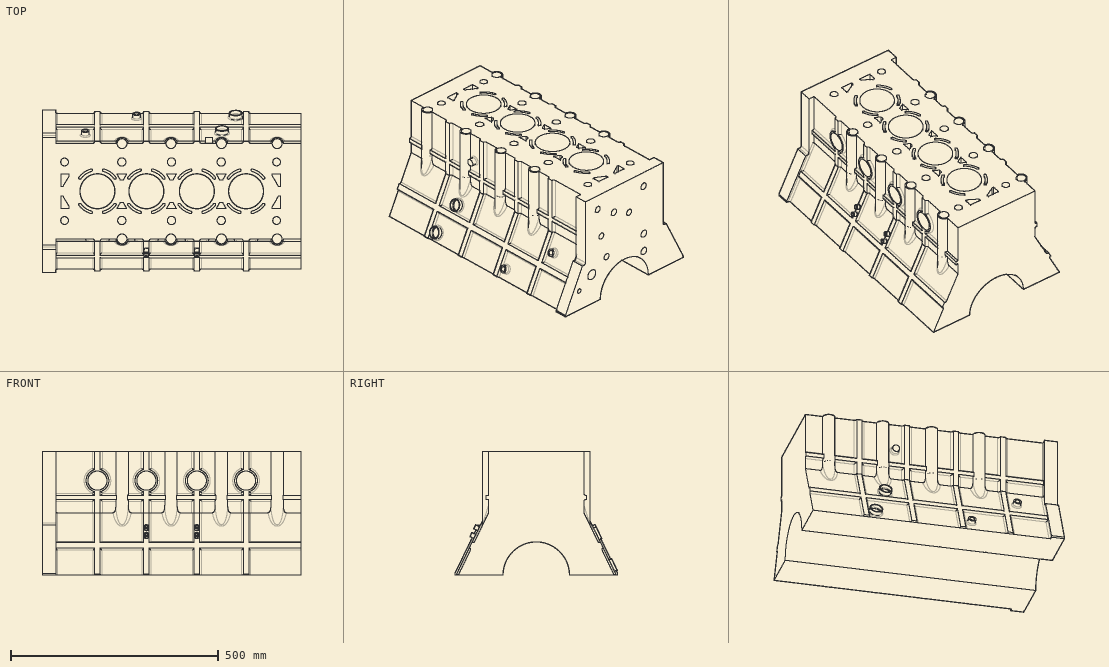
import cadquery as cq
import math

LENGTH = 624.0
WIDTH = 392.5
HEIGHT = 298.0
WALL_HALF = 115.0
BREAK_Z = 150.5
SKIRT_HALF = 188.0
TUNNEL_R = 80.0

FLANGE_T = 32.5
FLANGE_TOP_HALF = 130.0
FLANGE_BOTTOM_HALF = WIDTH / 2
FLANGE_LIP_Z = 4.5
FLANGE_LEDGE_Z = 120.5
FLANGE_FILLET = 5.0

BORE_XS = (133.0, 251.0, 372.5, 491.0)
BORE_R = 42.0
STUD_Y = 70.5
STUD_DEPTH = 62.5
INNER_STUD_XS = (191.5, 311.5, 431.0)
INNER_STUD_R = 10.0
END_STUD_XS = (53.5, 564.5)
END_STUD_R = 9.5

COOLANT_DEPTH = 31.0
SLOT_R = 53.0
SLOT_W = 5.9
SLOT_START, SLOT_END = 37.0, 73.5
WEDGE_OUTER_Y = 42.0
WEDGE_INNER_Y = 27.5
WEDGE_OUTER_HALF = 12.0
WEDGE_INNER_HALF = 4.0
END_WEDGE_XS = (45.0, 574.0)
END_WEDGE_WIDE = 20.0
END_WEDGE_NARROW = 5.0
END_WEDGE_SHOULDER_Y = 37.5
END_WEDGE_TIP_Y = 12.0

RIB_W = 13.0
WALL_RIB_H = 5.9
LONG_RIB_W = 10.5
LONG_RIB_Z = 187.0
SKIRT_RIB_H = 5.0
SKIRT_LONG_RIB_W = 15.0
SKIRT_LONG_RIB_Z = 70.5
RIB_FILLET = 4.05

COLUMN_XS = (192.0, 310.0, 432.0, 566.0)
COLUMN_R = 15.0
COLUMN_HOLE_R = 12.0
COLUMN_HOLE_DEPTH = 125.0
COLUMN_FILLET = 8.0

PLUG_Z = 228.0
PLUG_R = 23.0
PLUG_RIM_R = 27.5
PLUG_FLARE = 4.7

SKIRT_BOSSES = (
    (103.5, 108.5, 9.5, 5.5),
    (227.0, 24.5, 9.5, 5.5),
    (466.0, 20.5, 15.5, 14.0),
    (433.0, 97.5, 15.5, 14.0),
)
SKIRT_BOSS_H = 12.0
BOSS_FLARE = 2.8
WALL_BOSS_X, WALL_BOSS_Z, WALL_BOSS_R = 402.0, 228.0, 9.0
RIB_BOSS_XS = BORE_XS[1:3]
RIB_BOSS_ZS = (110.0, 91.0)
RIB_BOSS_R = 5.5
RIB_BOSS_HOLE_R = 2.8
RIB_BOSS_H = 15.5
NO_FLARE = 0.0

FLANGE_HOLES = (
    (88.5, 259.0, 8.0),
    (-64.0, 259.0, 9.0),
    (35.0, 228.0, 9.0),
    (-15.5, 206.0, 8.0),
    (77.0, 178.5, 8.0),
    (59.0, 112.0, 8.0),
    (-65.0, 124.0, 9.5),
    (-65.0, 75.0, 9.5),
    (108.5, 82.5, 13.0),
    (150.5, 53.5, 5.5),
)

OVERLAP = 3.0
SKIRT_SLOPE = (SKIRT_HALF - WALL_HALF) / BREAK_Z
SKIRT_COS = math.cos(math.atan(SKIRT_SLOPE))
SKIRT_LENGTH = BREAK_Z / SKIRT_COS
DIAGONAL = math.sqrt(0.5)

WALL = cq.Plane((0, -WALL_HALF, 0), (1, 0, 0), (0, -1, 0))
SKIRT = cq.Plane((0, -WALL_HALF, BREAK_Z), (1, 0, 0), (0, -1, SKIRT_SLOPE))


def skirt_y(z):
    """Local y on the skirt frame of a point of the skirt at height z."""
    return (z - BREAK_Z) / SKIRT_COS


def place(shape, plane):
    return cq.Workplane(shape.val().moved(plane.location))


def fuse(shapes):
    first, *others = [shape.val() for shape in shapes]
    return cq.Workplane(first.fuse(*others))


def far_side(shape):
    return shape.mirror("XZ")


def rib(centre, width, height, start, end, fillet, along="y"):
    """Rib with concave flanks, running from start to end on a local surface z = 0."""
    half = width / 2
    foot = half + fillet
    bend = foot - fillet * DIAGONAL
    bend_z = fillet * (1 - DIAGONAL)
    base = "XZ" if along == "y" else "YZ"
    length = start - end if along == "y" else end - start
    origin = (centre, start, 0) if along == "y" else (start, centre, 0)
    outline = (
        cq.Workplane(base, origin=origin)
        .moveTo(foot, 0)
        .lineTo(foot, -OVERLAP)
        .lineTo(-foot, -OVERLAP)
        .lineTo(-foot, 0)
        .threePointArc((-bend, bend_z), (-half, fillet))
    )
    if height > fillet:
        outline = outline.lineTo(-half, height).lineTo(half, height)
    outline = outline.lineTo(half, fillet).threePointArc((bend, bend_z), (foot, 0))
    return outline.close().extrude(length)


def plain_bar(centre, width, height):
    """Square-edged bar along the whole block, standing on a local surface z = 0."""
    bar = cq.Workplane("XY").box(LENGTH, width, height + OVERLAP, centered=(False, True, False))
    return bar.translate((0, centre, -OVERLAP))


def boss(x, y, radius, height, flare):
    """Round boss standing on a local surface z = 0, with a concave flare at its foot."""
    foot = radius + flare
    profile = cq.Workplane("XZ", origin=(x, y, 0)).moveTo(0, -OVERLAP).lineTo(foot, -OVERLAP)
    if flare > 0:
        bend = (foot - flare * DIAGONAL, flare * (1 - DIAGONAL))
        profile = profile.lineTo(foot, 0).threePointArc(bend, (radius, flare))
    return (
        profile.lineTo(radius, height)
        .lineTo(0, height)
        .close()
        .revolve(360, (0, 0, 0), (0, 1, 0))
    )


def pin(x, y, radius, bottom, top):
    return cq.Workplane("XY", origin=(x, y, bottom)).circle(radius).extrude(top - bottom)


def make_core():
    return (
        cq.Workplane("YZ")
        .polyline([
            (-SKIRT_HALF, 0), (SKIRT_HALF, 0), (WALL_HALF, BREAK_Z),
            (WALL_HALF, HEIGHT), (-WALL_HALF, HEIGHT), (-WALL_HALF, BREAK_Z),
        ])
        .close()
        .extrude(LENGTH)
    )


def make_flange():
    fillet_y = FLANGE_TOP_HALF + FLANGE_FILLET
    bend = FLANGE_FILLET * (1 - DIAGONAL)
    ledge_y = FLANGE_BOTTOM_HALF - SKIRT_SLOPE * (FLANGE_LEDGE_Z - FLANGE_LIP_Z)
    half = (
        cq.Workplane("YZ")
        .moveTo(0, 0)
        .lineTo(FLANGE_BOTTOM_HALF, 0)
        .lineTo(FLANGE_BOTTOM_HALF, FLANGE_LIP_Z)
        .lineTo(ledge_y, FLANGE_LEDGE_Z)
        .lineTo(fillet_y, FLANGE_LEDGE_Z)
        .threePointArc(
            (FLANGE_TOP_HALF + bend, FLANGE_LEDGE_Z + bend),
            (FLANGE_TOP_HALF, FLANGE_LEDGE_Z + FLANGE_FILLET),
        )
        .lineTo(FLANGE_TOP_HALF, HEIGHT)
        .lineTo(0, HEIGHT)
        .close()
        .extrude(FLANGE_T)
    )
    return half.union(far_side(half))


def make_ribs(flank_end):
    """Ribs of one side; the long wall rib has concave flanks only up to x = flank_end."""
    skirt_long_y = skirt_y(SKIRT_LONG_RIB_Z)
    ribs = [
        place(rib(LONG_RIB_Z, LONG_RIB_W, WALL_RIB_H, 0, flank_end, RIB_FILLET, "x"), WALL),
        place(plain_bar(LONG_RIB_Z, LONG_RIB_W, WALL_RIB_H), WALL),
        place(rib(skirt_long_y, SKIRT_LONG_RIB_W, SKIRT_RIB_H, 0, LENGTH, RIB_FILLET, "x"), SKIRT),
    ]
    for x in BORE_XS:
        ribs.append(place(rib(x, RIB_W, WALL_RIB_H, BREAK_Z, HEIGHT, WALL_RIB_H), WALL))
    for x in BORE_XS + (FLANGE_T - RIB_W / 2,):
        ribs.append(place(rib(x, RIB_W, SKIRT_RIB_H, -SKIRT_LENGTH, 0, RIB_FILLET), SKIRT))
    room = cq.Workplane("XY", origin=(FLANGE_T, 0, 0)).box(
        LENGTH - FLANGE_T, WIDTH, HEIGHT, centered=(False, True, False)
    )
    return fuse(ribs).intersect(room)


def make_column(x):
    """Upright column with a fillet where it runs out on the skirt."""
    run_out = COLUMN_R / SKIRT_SLOPE
    foot_w = 2 * COLUMN_R + 4 * COLUMN_FILLET
    foot_l = 2 * run_out / SKIRT_COS + 6 * COLUMN_FILLET
    foot_t = 3 * COLUMN_R
    foot = place(cq.Workplane("XY").box(foot_w, foot_l, foot_t).translate((x, 0, -foot_t / 2)), SKIRT)
    post = pin(x, -WALL_HALF, COLUMN_R, BREAK_Z - run_out - OVERLAP, HEIGHT)
    return post.union(foot).edges("%ELLIPSE").fillet(COLUMN_FILLET)


def make_plug_boss(x):
    return place(boss(x, PLUG_Z, PLUG_RIM_R, WALL_RIB_H, PLUG_FLARE), WALL)


def make_wall_boss():
    height = FLANGE_TOP_HALF - WALL_HALF
    shape = boss(WALL_BOSS_X, WALL_BOSS_Z, WALL_BOSS_R, height, BOSS_FLARE)
    return far_side(place(shape, WALL))


def deck_hole(x, y, radius, depth):
    return pin(x, y, radius, HEIGHT - depth, HEIGHT)


def polar(x, radius, angle):
    return (x + radius * math.cos(math.radians(angle)), radius * math.sin(math.radians(angle)))


def curved_slot(x, start, end):
    """Curved slot with rounded ends, concentric with the bore at x."""
    inner = SLOT_R - SLOT_W / 2
    outer = SLOT_R + SLOT_W / 2
    middle = (start + end) / 2
    end_cap = math.degrees(SLOT_W / 2 / SLOT_R)
    return (
        cq.Workplane("XY", origin=(0, 0, HEIGHT - COOLANT_DEPTH))
        .moveTo(*polar(x, outer, start))
        .threePointArc(polar(x, outer, middle), polar(x, outer, end))
        .threePointArc(polar(x, SLOT_R, end + end_cap), polar(x, inner, end))
        .threePointArc(polar(x, inner, middle), polar(x, inner, start))
        .threePointArc(polar(x, SLOT_R, start - end_cap), polar(x, outer, start))
        .close()
        .extrude(COOLANT_DEPTH)
    )


def deck_pocket(points):
    return (
        cq.Workplane("XY", origin=(0, 0, HEIGHT - COOLANT_DEPTH))
        .polyline(points)
        .close()
        .extrude(COOLANT_DEPTH)
    )


def wedge(x):
    return deck_pocket([
        (x - WEDGE_OUTER_HALF, WEDGE_OUTER_Y), (x + WEDGE_OUTER_HALF, WEDGE_OUTER_Y),
        (x + WEDGE_INNER_HALF, WEDGE_INNER_Y), (x - WEDGE_INNER_HALF, WEDGE_INNER_Y),
    ])


def end_wedge(x, inward):
    wide_x = x + inward * END_WEDGE_WIDE
    narrow_x = x + inward * END_WEDGE_NARROW
    return deck_pocket([
        (x, WEDGE_OUTER_Y), (wide_x, WEDGE_OUTER_Y), (wide_x, END_WEDGE_SHOULDER_Y),
        (narrow_x, END_WEDGE_TIP_Y), (x, END_WEDGE_TIP_Y),
    ])


near_ribs = make_ribs(COLUMN_XS[-1])
far_ribs = far_side(make_ribs(LENGTH))
solids = [make_core(), make_flange(), near_ribs, far_ribs, make_wall_boss()]
cutters = []

for x in BORE_XS:
    solids.append(make_plug_boss(x))

for x in COLUMN_XS:
    column = make_column(x)
    solids += [column, far_side(column)]

for x in RIB_BOSS_XS:
    for z in RIB_BOSS_ZS:
        y = skirt_y(z)
        solids.append(place(boss(x, y, RIB_BOSS_R, RIB_BOSS_H, NO_FLARE), SKIRT))
        cutters.append(place(pin(x, y, RIB_BOSS_HOLE_R, SKIRT_RIB_H, RIB_BOSS_H), SKIRT))

for x, z, radius, hole_r in SKIRT_BOSSES:
    y = skirt_y(z)
    solids.append(far_side(place(boss(x, y, radius, SKIRT_BOSS_H, BOSS_FLARE), SKIRT)))
    cutters.append(far_side(place(pin(x, y, hole_r, 0, SKIRT_BOSS_H), SKIRT)))

for x in BORE_XS:
    cutters.append(deck_hole(x, 0, BORE_R, HEIGHT))
    cutters.append(place(pin(x, PLUG_Z, PLUG_R, -WALL_HALF, WALL_RIB_H), WALL))
    for start in (SLOT_START, 180 - SLOT_END):
        slot = curved_slot(x, start, start + SLOT_END - SLOT_START)
        cutters += [slot, far_side(slot)]

for side in (-1, 1):
    for x in INNER_STUD_XS:
        cutters.append(deck_hole(x, side * STUD_Y, INNER_STUD_R, STUD_DEPTH))
    for x in END_STUD_XS:
        cutters.append(deck_hole(x, side * STUD_Y, END_STUD_R, STUD_DEPTH))
    for x in COLUMN_XS:
        cutters.append(deck_hole(x, side * WALL_HALF, COLUMN_HOLE_R, COLUMN_HOLE_DEPTH))

pockets = [wedge(x) for x in INNER_STUD_XS]
pockets += [end_wedge(x, inward) for x, inward in zip(END_WEDGE_XS, (1, -1))]
for pocket in pockets:
    cutters += [pocket, far_side(pocket)]

cutters.append(cq.Workplane("YZ").circle(TUNNEL_R).extrude(LENGTH))
for y, z, radius in FLANGE_HOLES:
    cutters.append(cq.Workplane("YZ").center(y, z).circle(radius).extrude(FLANGE_T))

result = fuse(solids).cut(fuse(cutters))